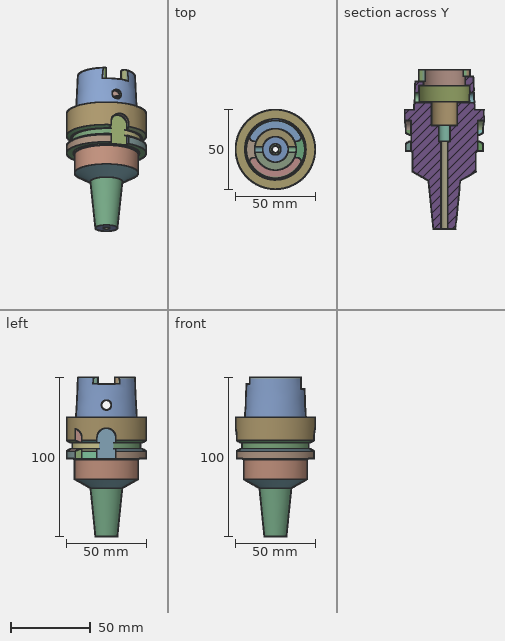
import cadquery as cq
import math

total_height = 100.0
flange_top = total_height - 25.0
flange_bottom = flange_top - 26.0
groove_center = flange_top - 18.0
groove_width = 3.6
shoulder_height = 36.0
nose_top = 30.4

flange_radius = 25.0
groove_radius = 21.5
neck_radius = 20.0
relief_radius = 20.8
nose_top_radius = 10.1
nose_tip_radius = 7.0
taper_base_radius = 19.2
taper_top_radius = 18.0
groove_chamfer_run = 2.6
groove_chamfer_rise = groove_chamfer_run * math.tan(math.radians(30))
taper_edge_round = 0.9
relief_height = relief_radius - neck_radius

mouth_radius = 13.0
mouth_depth = 10.0
undercut_radius = 15.9
undercut_floor = total_height - 20.0
pocket_radius = 8.0
pocket_floor = flange_top - 10.0
seat_radius = 3.5
seat_floor = pocket_floor - 10.0
through_radius = 2.1
cross_hole_radius = 3.0
cross_hole_height = total_height - 17.5

mouth_slot_width = 10.4
left_slot_depth = 4.3
right_slot_depth = 7.3
mouth_slot_round = 2.4
tongue_end = 16.1

notch_top = flange_top - 7.0
drive_notch_width = 11.8
drive_notch_floor = 21.0
index_notch_edge = 15.4
index_notch_floor = 15.8
index_notch_width = 12.0


def revolve_profile(points):
    """Solid of revolution about Z from (radius, height) points."""
    return cq.Workplane("XZ").polyline(points).close().revolve(360, (0, 0), (0, 1))


def make_body():
    groove_low = groove_center - groove_width / 2
    groove_high = groove_center + groove_width / 2
    groove_edge = flange_radius - groove_chamfer_run
    return revolve_profile([
        (0, 0),
        (nose_tip_radius, 0),
        (nose_top_radius, nose_top),
        (neck_radius, shoulder_height),
        (neck_radius, flange_bottom - relief_height),
        (relief_radius, flange_bottom),
        (flange_radius, flange_bottom),
        (flange_radius, groove_low - groove_chamfer_rise),
        (groove_edge, groove_low),
        (groove_radius, groove_low),
        (groove_radius, groove_high),
        (groove_edge, groove_high),
        (flange_radius, groove_high + groove_chamfer_rise),
        (flange_radius, flange_top),
        (0, flange_top),
    ])


def make_mouth_slot(depth):
    """Cutter toward +X whose rounded flare trims the ends of the mouth tongues."""
    half = mouth_slot_width / 2
    arc_start = tongue_end - mouth_slot_round
    arc_middle = mouth_slot_round * math.sqrt(0.5)
    arc_center_y = half + mouth_slot_round
    half_slot = (
        cq.Workplane("XY", origin=(0, 0, total_height - depth))
        .moveTo(0, 0)
        .lineTo(0, half)
        .lineTo(arc_start, half)
        .threePointArc((arc_start + arc_middle, arc_center_y - arc_middle), (tongue_end, arc_center_y))
        .lineTo(tongue_end, taper_base_radius)
        .lineTo(taper_base_radius, taper_base_radius)
        .lineTo(taper_base_radius, 0)
        .close()
        .extrude(depth)
    )
    return half_slot.union(half_slot.mirror("XZ"))


def make_taper():
    """Hollow-shank taper with a rounded rim and a slot on each side of the mouth."""
    taper = revolve_profile([
        (0, flange_top),
        (taper_base_radius, flange_top),
        (taper_top_radius, total_height),
        (0, total_height),
    ])
    taper = taper.faces(">Z").edges().fillet(taper_edge_round)
    return (
        taper
        .cut(make_mouth_slot(left_slot_depth).mirror("YZ"))
        .cut(make_mouth_slot(right_slot_depth))
    )


def make_cavity():
    mouth_bottom = total_height - mouth_depth
    return revolve_profile([
        (0, 0),
        (through_radius, 0),
        (through_radius, seat_floor),
        (seat_radius, seat_floor),
        (seat_radius, pocket_floor),
        (pocket_radius, pocket_floor),
        (pocket_radius, undercut_floor),
        (undercut_radius, undercut_floor),
        (undercut_radius, mouth_bottom),
        (mouth_radius, mouth_bottom),
        (mouth_radius, total_height),
        (0, total_height),
    ])


def make_notch(width, center_y, floor_x):
    """Round-topped cutter reaching outward from floor_x toward +X."""
    radius = width / 2
    spring_height = notch_top - radius
    return (
        cq.Workplane("YZ", origin=(floor_x, center_y, 0))
        .moveTo(-radius, flange_bottom)
        .lineTo(radius, flange_bottom)
        .lineTo(radius, spring_height)
        .threePointArc((0, notch_top), (-radius, spring_height))
        .close()
        .extrude(flange_radius)
    )


cross_hole = (
    cq.Workplane("YZ").center(0, cross_hole_height).circle(cross_hole_radius).extrude(flange_radius, both=True)
)
drive_notch = make_notch(drive_notch_width, 0, drive_notch_floor)
index_notch = make_notch(
    index_notch_width, index_notch_edge + index_notch_width / 2, index_notch_floor
).mirror("YZ")

result = make_body().union(make_taper()).cut(make_cavity()).cut(cross_hole)
for notch in (drive_notch, drive_notch.mirror("YZ"), index_notch):
    result = result.cut(notch)